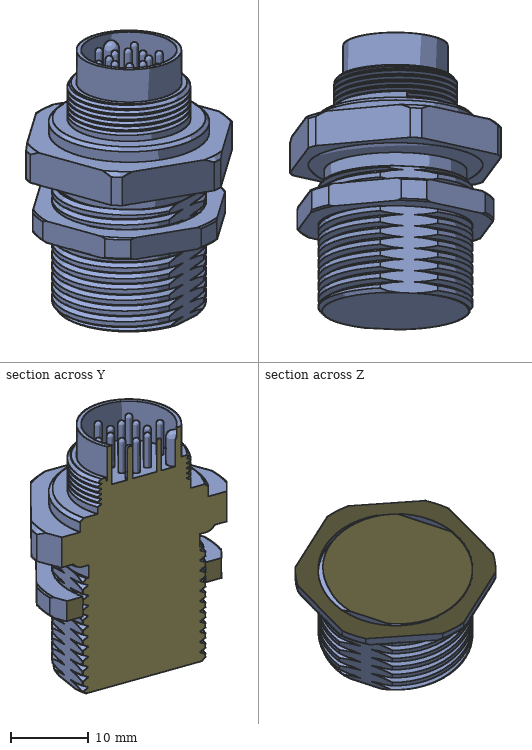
import cadquery as cq
import math

NECK_BOTTOM = 16.97
SEAL_BOTTOM = 18.78
HEX_BOTTOM = 19.52
HEX_TOP = 24.05
FLANGE_TOP = 26.0
COUPLING_TOP = 31.0
SHROUD_TOP = 35.5

PANEL_DIAMETER = 20.0
PANEL_TURNS = 11
PANEL_LAST_ROOT = 16.5
PANEL_PITCH = PANEL_LAST_ROOT / PANEL_TURNS
PANEL_GROOVE_WIDTH = 0.85
PANEL_GROOVE_DEPTH = 0.7
NECK_DIAMETER = 18.5

COUPLING_DIAMETER = 16.0
COUPLING_PITCH = 0.75
COUPLING_GROOVE_WIDTH = 0.57
COUPLING_GROOVE_DEPTH = 0.5
COUPLING_GROOVE_START = 26.85

EDGE_CHAMFER = 0.5
FLANGE_DIAMETER = 20.8
HEX_ACROSS_FLATS = 25.4
HEX_CORNER_DIAMETER = 28.5
HEX_CHAMFER = 0.57
SEAL_DIAMETER = 23.0
SEAL_ROUNDING = 1.5

SHROUD_OUTER_DIAMETER = 13.6
SHROUD_INNER_DIAMETER = 12.4
SHROUD_FLOOR = 29.8
GAP_OUTER_DIAMETER = 13.7
GAP_DEPTH = 0.5

PIN_DIAMETER = 1.0
PIN_TOP = 34.7
INNER_PIN_RADIUS = 2.55
INNER_PIN_ANGLES = (81.4, 128.6)
OUTER_PINS = [(4.72, 118), (4.25, 60), (4.72, 181.4), (4.58, 0), (4.25, 239.8), (4.58, -59.9)]

KEY_WIDTH = 2.0
KEY_CENTER_RADIUS = 5.75
KEY_ANGLE = 149.5
KEY_TOP = 34.55

NUT_BOTTOM = 11.43
NUT_TOP = 14.45
NUT_ACROSS_FLATS = 24.0
NUT_CORNER_DIAMETER = 26.0
NUT_CHAMFER = 0.2

OVERSHOOT = 0.1

SEAM_ANGLE = 40

ORIGIN = (0, 0, 0)
Z_AXIS = (0, 0, 1)


def cylinder(diameter, bottom, top):
    return cq.Workplane("XY").workplane(offset=bottom).circle(diameter / 2).extrude(top - bottom)


def hexagon(across_flats, bottom, top):
    """Hexagonal prism with two of its corners on the X axis."""
    across_corners = across_flats / math.cos(math.pi / 6)
    return cq.Workplane("XY").workplane(offset=bottom).polygon(6, across_corners).extrude(top - bottom)


def thread_groove(diameter, pitch, width, depth, start, end):
    """Right-hand V groove that starts on the -X side, bounded by three helical faces."""
    radius = diameter / 2
    half_width = width / 2 * (depth + OVERSHOOT) / depth

    def helix(helix_radius, bottom):
        return cq.Wire.makeHelix(pitch, end - start, helix_radius).translate(cq.Vector(0, 0, bottom))

    root = helix(radius - depth, start)
    upper = helix(radius + OVERSHOOT, start + half_width)
    lower = helix(radius + OVERSHOOT, start - half_width)
    sides = [
        cq.Face.makeRuledSurface(root, upper),
        cq.Face.makeRuledSurface(upper, lower),
        cq.Face.makeRuledSurface(lower, root),
    ]

    def end_face(position):
        corners = [edge.positionAt(position) for edge in (root, upper, lower)]
        return cq.Face.makeFromWires(cq.Wire.makePolygon(corners, close=True))

    ends = [end_face(0), end_face(1)]
    groove = cq.Solid.makeSolid(cq.Shell.makeShell(sides + ends))
    if groove.Volume() < 0:
        groove = cq.Solid(groove.wrapped.Reversed())
    return cq.Workplane(groove).rotate(ORIGIN, Z_AXIS, 180)


def panel_thread():
    """Threaded rod cut flat on its two X sides."""
    rod = cylinder(PANEL_DIAMETER, 0, NECK_BOTTOM).edges("%CIRCLE").chamfer(EDGE_CHAMFER)
    groove = thread_groove(
        PANEL_DIAMETER,
        PANEL_PITCH,
        PANEL_GROOVE_WIDTH,
        PANEL_GROOVE_DEPTH,
        -PANEL_PITCH,
        NECK_BOTTOM + PANEL_PITCH,
    )
    between_flats = cq.Workplane("XY").rect(NECK_DIAMETER, 2 * PANEL_DIAMETER).extrude(NECK_BOTTOM)
    return rod.rotate(ORIGIN, Z_AXIS, SEAM_ANGLE).cut(groove).intersect(between_flats)


def coupling_thread():
    """Threaded rod whose groove stops short of the flange."""
    rod = cylinder(COUPLING_DIAMETER, FLANGE_TOP, COUPLING_TOP).faces(">Z").chamfer(EDGE_CHAMFER)
    groove = thread_groove(
        COUPLING_DIAMETER,
        COUPLING_PITCH,
        COUPLING_GROOVE_WIDTH,
        COUPLING_GROOVE_DEPTH,
        COUPLING_GROOVE_START,
        COUPLING_TOP + COUPLING_PITCH,
    )
    return rod.rotate(ORIGIN, Z_AXIS, SEAM_ANGLE).cut(groove)


def flange_section():
    """Neck, seal ring, hexagon with rounded corners, and round flange."""
    neck = cylinder(NECK_DIAMETER, NECK_BOTTOM, HEX_BOTTOM)
    seal = cylinder(SEAL_DIAMETER, SEAL_BOTTOM, HEX_TOP).faces("<Z").edges().fillet(SEAL_ROUNDING)
    corner_limit = cylinder(HEX_CORNER_DIAMETER, HEX_BOTTOM, HEX_TOP).faces(">Z").chamfer(HEX_CHAMFER)
    body = hexagon(HEX_ACROSS_FLATS, HEX_BOTTOM, HEX_TOP).intersect(corner_limit)
    flange = cylinder(FLANGE_DIAMETER, HEX_TOP, FLANGE_TOP).faces(">Z").chamfer(EDGE_CHAMFER)
    return neck.union(seal).union(body).union(flange)


def pin(radius, angle):
    """Contact with a round tip, rooted in the solid below the shroud floor."""
    x = radius * math.cos(math.radians(angle))
    y = radius * math.sin(math.radians(angle))
    round_start = PIN_TOP - PIN_DIAMETER / 2
    tip = cq.Workplane("XY").sphere(PIN_DIAMETER / 2).translate((0, 0, round_start))
    return cylinder(PIN_DIAMETER, FLANGE_TOP, round_start).union(tip).translate((x, y, 0))


def key():
    """Rib from the shroud wall with a domed inner end and a rounded top."""
    key_radius = KEY_WIDTH / 2
    round_start = KEY_TOP - key_radius
    wall_radius = (SHROUD_INNER_DIAMETER + SHROUD_OUTER_DIAMETER) / 4
    root_length = wall_radius - KEY_CENTER_RADIUS
    post = cylinder(KEY_WIDTH, FLANGE_TOP, round_start)
    dome = cq.Workplane("XY").sphere(key_radius).translate((0, 0, round_start))
    web = (
        cq.Workplane("YZ")
        .moveTo(-key_radius, FLANGE_TOP)
        .lineTo(-key_radius, round_start)
        .threePointArc((0, KEY_TOP), (key_radius, round_start))
        .lineTo(key_radius, FLANGE_TOP)
        .close()
        .extrude(root_length)
    )
    rib = post.union(dome).union(web).translate((KEY_CENTER_RADIUS, 0, 0))
    inside_wall = cylinder(2 * wall_radius, FLANGE_TOP, SHROUD_TOP)
    return rib.rotate(ORIGIN, Z_AXIS, KEY_ANGLE).intersect(inside_wall)


def pin_places():
    inner = [
        (INNER_PIN_RADIUS, angle + quarter)
        for quarter in (0, 90, 180, 270)
        for angle in INNER_PIN_ANGLES
    ]
    return inner + OUTER_PINS


def connector():
    shroud = cylinder(SHROUD_OUTER_DIAMETER, FLANGE_TOP, SHROUD_TOP)
    gap = cylinder(GAP_OUTER_DIAMETER, COUPLING_TOP - GAP_DEPTH, COUPLING_TOP)
    well = cylinder(SHROUD_INNER_DIAMETER, SHROUD_FLOOR, SHROUD_TOP)
    body = panel_thread().union(flange_section())
    body = body.union(coupling_thread().cut(gap)).union(shroud).cut(well)
    body = body.union(key())
    for radius, angle in pin_places():
        body = body.union(pin(radius, angle))
    return body


def lock_nut():
    """Hexagonal nut whose plain bore fits over the crests of the panel thread."""
    corner_limit = cylinder(NUT_CORNER_DIAMETER, NUT_BOTTOM, NUT_TOP)
    corner_limit = corner_limit.edges("%CIRCLE").chamfer(NUT_CHAMFER)
    nut = hexagon(NUT_ACROSS_FLATS, NUT_BOTTOM, NUT_TOP).intersect(corner_limit)
    return nut.cut(cylinder(PANEL_DIAMETER, NUT_BOTTOM, NUT_TOP))


result = cq.Compound.makeCompound([connector().val(), lock_nut().val()])